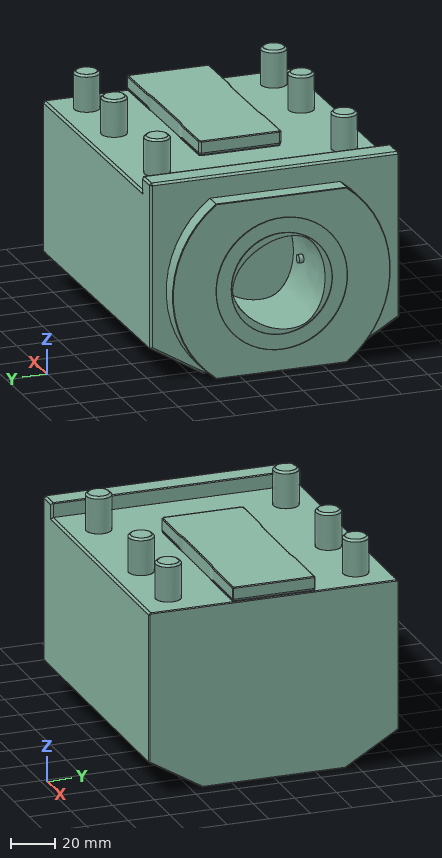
import cadquery as cq
import math

length = 146.0
body_front = 8.8
body_length = length - body_front

body_width = 120.0
deck_height = 87.5
lip_height = 94.5
lip_back = 19.5
side_bottom = 15.3
base_width = 68.6
edge_chamfer = 1.0
lip_chamfer = 0.5
end_chamfer = 0.5

axis_height = 42.0
flange_diameter = 104.7
flange_flats = 83.8
flange_chamfer = 0.3
ring_outer_diameter = 63.0
ring_inner_diameter = 48.5
ring_height = 0.5

socket_width = 44.4
socket_lobe_rise = 1.3
socket_outline_points = 12
socket_depth = 38.0
socket_taper = 1 / 40

key_diameter = 4.0
key_tip = 18.1
key_depth = 27.7
key_root = 26.3

pad_front = 53.0
pad_width = 39.5
pad_corner = 1.0
pad_top_chamfer = 0.5
plinth_height = 0.5
undercut_height = 0.9
undercut_angle = 20.0
waist_inset = 0.6
waist_start = 80.0
waist_end = 115.5
waist_run = 5.0

stud_diameter = 12.0
stud_top = 105.3
stud_chamfer = 1.0
stud_x = (40.2, 95.2, 130.2)
stud_spacing = 90.0


def make_body():
    """Block with sloped lower sides and a raised lip along its front edge."""
    half_width = body_width / 2
    half_base = base_width / 2
    block = (
        cq.Workplane("YZ", origin=(body_front, 0, 0))
        .polyline([
            (-half_base, 0),
            (half_base, 0),
            (half_width, side_bottom),
            (half_width, lip_height),
            (-half_width, lip_height),
            (-half_width, side_bottom),
        ])
        .close()
        .extrude(body_length)
    )
    above_deck = cq.Workplane("XY").box(
        length - lip_back, body_width, lip_height - deck_height, centered=(False, True, False)
    ).translate((lip_back, 0, deck_height))
    block = block.cut(above_deck)

    above_slopes = cq.selectors.BoxSelector(
        (0, -body_width, deck_height - edge_chamfer),
        (length, body_width, lip_height + edge_chamfer),
    )
    front_edges = block.faces("<X").edges()
    side_rims = block.faces("<Y or >Y").edges("|X").edges(above_slopes)
    lip_backs = block.faces("<Y or >Y").edges("|Z").edges(above_slopes)
    block = front_edges.add(side_rims).add(lip_backs).chamfer(edge_chamfer)
    lip_edge = cq.selectors.NearestToPointSelector((lip_back, 0, lip_height))
    block = block.edges(lip_edge).chamfer(lip_chamfer)
    return block.faces(">X").edges().chamfer(end_chamfer)


def axial_disc(diameter, start, depth):
    """Disc around the spindle axis, growing in +X."""
    return cq.Workplane("YZ", origin=(start, 0, axis_height)).circle(diameter / 2).extrude(depth)


def make_flange():
    """Round flange cut by an upper and a lower flat, with a raised contact ring."""
    thickness = body_front - ring_height
    flats = cq.Workplane("XY").box(length, flange_diameter, flange_flats).translate((0, 0, axis_height))
    flange = axial_disc(flange_diameter, ring_height, thickness).intersect(flats)
    flange = flange.faces("<X").edges().chamfer(flange_chamfer)
    ring = axial_disc(ring_outer_diameter, 0, ring_height + flange_chamfer)
    return flange.union(ring).cut(axial_disc(ring_inner_diameter, 0, ring_height))


def lobed_wire(sketch_plane, width):
    """Smooth outline of constant width with three lobes, one of them toward +Y.

    The tangent line facing a given angle lies at width / 2 + rise * cos(3 * angle) from the axis.
    """
    points = []
    for index in range(socket_outline_points):
        angle = 2 * math.pi * index / socket_outline_points
        support = width / 2 + socket_lobe_rise * math.cos(3 * angle)
        support_slope = -3 * socket_lobe_rise * math.sin(3 * angle)
        points.append((
            support * math.cos(angle) - support_slope * math.sin(angle),
            support * math.sin(angle) + support_slope * math.cos(angle),
        ))
    return sketch_plane.spline(points, periodic=True).close()


def make_socket():
    """Blind socket that narrows toward its floor and leaves the key pin standing."""
    floor_width = socket_width - 2 * socket_taper * socket_depth
    mouth = lobed_wire(cq.Workplane("YZ", origin=(ring_height, 0, axis_height)), socket_width)
    socket = lobed_wire(mouth.workplane(offset=socket_depth), floor_width).loft(ruled=True)
    key = (
        cq.Workplane("XZ", origin=(key_depth, -key_root, axis_height))
        .circle(key_diameter / 2)
        .extrude(key_tip - key_root)
    )
    return socket.cut(key)


def make_waist():
    """Shallow trapezoid removed from the +Y side of the pad."""
    outer = pad_width / 2
    inner = outer - waist_inset
    return (
        cq.Workplane("XY", origin=(0, 0, deck_height))
        .polyline([
            (waist_start - waist_run, outer),
            (waist_start, inner),
            (waist_end, inner),
            (waist_end + waist_run, outer),
        ])
        .close()
        .extrude(lip_height - deck_height)
    )


def make_pad():
    """Raised pad with a waist on both long sides, standing on an undercut foot."""
    pad_length = length - pad_front
    shoulder = deck_height + plinth_height + undercut_height
    slab = (
        cq.Workplane("XY", origin=(pad_front, 0, shoulder))
        .box(pad_length, pad_width, lip_height - shoulder, centered=(False, True, False))
        .edges("|Z and <X")
        .chamfer(pad_corner)
        .edges("|Z and >X")
        .chamfer(end_chamfer)
    )
    underside = slab.faces("<Z").wires().toPending().workplane()
    foot = underside.extrude(undercut_height, taper=undercut_angle, combine=False)
    plinth = foot.faces("<Z").wires().toPending().workplane().extrude(plinth_height, combine=False)
    waist = make_waist()
    pad = slab.union(foot).union(plinth).cut(waist).cut(waist.mirror("XZ"))
    return pad.faces(">Z").edges().chamfer(pad_top_chamfer)


def make_studs():
    """Two rows of chamfered studs standing on the deck."""
    places = [(x, side * stud_spacing / 2) for x in stud_x for side in (-1, 1)]
    return (
        cq.Workplane("XY", origin=(0, 0, deck_height))
        .pushPoints(places)
        .circle(stud_diameter / 2)
        .extrude(stud_top - deck_height)
        .faces(">Z")
        .edges()
        .chamfer(stud_chamfer)
    )


result = (
    make_body()
    .union(make_flange())
    .cut(make_socket())
    .union(make_pad())
    .union(make_studs())
)